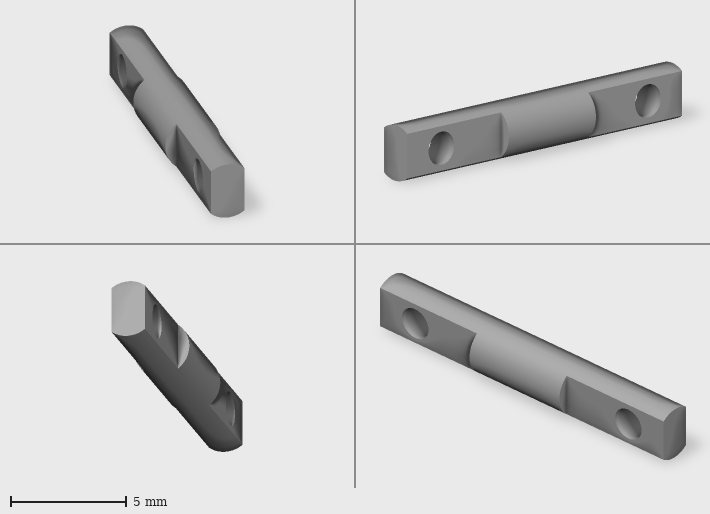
import cadquery as cq

PIN_LENGTH = 16.1
PIN_DIAMETER = 2.5
FLAT_LENGTH = 5.5
FLAT_THICKNESS = 1.5
HOLE_DIAMETER = 1.5
HOLE_END_DISTANCE = 2.0

FLAT_CENTER_X = (PIN_LENGTH - FLAT_LENGTH) / 2
HOLE_X = PIN_LENGTH / 2 - HOLE_END_DISTANCE
FLAT_CUT_DEPTH = (PIN_DIAMETER - FLAT_THICKNESS) / 2
FLAT_CUT_CENTER_Y = (FLAT_THICKNESS + FLAT_CUT_DEPTH) / 2


def make_pin():
    """Round pin lying along X."""
    return cq.Workplane("YZ").circle(PIN_DIAMETER / 2).extrude(PIN_LENGTH / 2, both=True)


def make_flat_cut(end, side):
    """Block removed to leave one flat; end and side are -1 or +1 along X and Y."""
    block = cq.Workplane("XY").box(FLAT_LENGTH, FLAT_CUT_DEPTH, PIN_DIAMETER)
    return block.translate((end * FLAT_CENTER_X, side * FLAT_CUT_CENTER_Y, 0))


def make_cross_hole(end):
    """Cylinder along Y that drills through both flats of one end."""
    drill = cq.Workplane("XZ").circle(HOLE_DIAMETER / 2).extrude(PIN_DIAMETER / 2, both=True)
    return drill.translate((end * HOLE_X, 0, 0))


result = make_pin()
for end in (-1, 1):
    for side in (-1, 1):
        result = result.cut(make_flat_cut(end, side))
    result = result.cut(make_cross_hole(end))